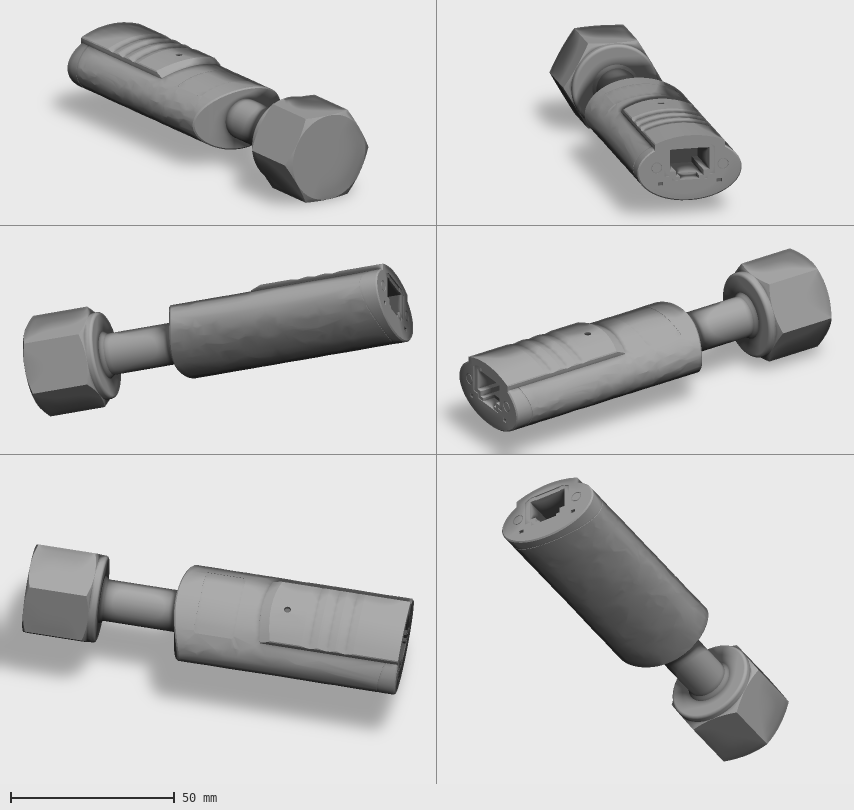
import cadquery as cq
import math

total_length = 116.2

housing_half_width = 16.4
housing_half_height = 9.65
housing_length = 70.85
plan_arc_radius = 41.0
housing_edge_chamfer = 0.4

cap_seam_start = 2.5
cap_seam_radius = 53.0
cap_seam_width = 0.5
cap_seam_depth = 0.12

plate_half_width = 11.0
plate_crown_z = 11.1
plate_shoulder_z = 8.9
plate_length = 44.35
plate_end_drop = 1.3
plate_end_run = 3.0
plate_side_chamfer = 0.25

grip_count = 3
grip_start = 14.0
grip_pitch = 5.6
grip_width = 4.93
grip_depth = 0.4

indicator_x = 36.3
indicator_diameter = 2.1
indicator_depth = 1.0

label_start = 51.1
label_end = 63.5
label_corner_radius = 0.8
label_depth = 0.1

shank_radius = 6.4
collar_radius = 7.3
collar_start = 92.5
washer_start = 93.8
washer_fillet = 0.9
hex_start = 96.1
hex_sides = 6
hex_across_flats = 27.0
hex_chamfer_angle = 30.0
washer_clearance = 0.05
washer_radius = hex_across_flats / 2 - washer_clearance

bezel_half_width = 7.93
bezel_top_z = 8.2
bezel_bottom_z = -1.5
bezel_corner_run = 2.0
bezel_corner_drop = 1.1
bezel_recess = 0.2
top_notch_depth = 0.4
tab_half_width = 5.6
tab_bottom_z = -2.97
latch_half_width = 3.0
latch_depth = 4.3
socket_half_width = 6.18
socket_top_z = 6.8
socket_ledge_z = -0.17
keyway_half_width = 4.33
keyway_bottom_z = -1.92
socket_depth = 15.0

light_y = 10.45
light_z = 1.4
light_outer_diameter = 3.5
light_inner_diameter = 2.9
light_groove_depth = 0.2
window_y = 9.26
window_z = -3.8
window_width = 1.6
window_height = 1.2
window_depth = 0.8


def plan_disc(front_x, radius):
    """Tall upright cylinder whose +X-most line is at front_x on the centre plane."""
    height = 4 * housing_half_height
    return cq.Workplane("XY").center(front_x - radius, 0).circle(radius).extrude(height, both=True)


def oval_bar(inset, length):
    """Elliptical bar along X, smaller than the housing by inset all round."""
    half_width = housing_half_width - inset
    half_height = housing_half_height - inset
    return cq.Workplane("YZ").ellipse(half_width, half_height).extrude(length)


def face_box(half_width, bottom_z, top_z, depth):
    """Box centred on Y = 0 that runs inward from the X = 0 face."""
    size_z = top_z - bottom_z
    corner = (0, -half_width, bottom_z)
    return cq.Workplane("XY").box(depth, 2 * half_width, size_z, centered=False).translate(corner)


def make_housing():
    body = oval_bar(0, housing_length).intersect(plan_disc(housing_length, plan_arc_radius))
    body = body.edges("<X or >X").chamfer(housing_edge_chamfer)

    seam_centre = cap_seam_start + cap_seam_radius
    seam = (
        cq.Workplane("XY")
        .center(seam_centre, 0)
        .circle(cap_seam_radius)
        .circle(cap_seam_radius - cap_seam_width)
        .extrude(2 * housing_half_height, both=True)
        .cut(oval_bar(cap_seam_depth, housing_length))
    )
    body = body.cut(seam)

    recess = (
        cq.Workplane("XY")
        .center((label_start + label_end) / 2, 0)
        .rect(label_end - label_start, 2 * plate_half_width)
        .extrude(2 * housing_half_height)
        .edges("|Z")
        .fillet(label_corner_radius)
        .cut(oval_bar(label_depth, housing_length))
    )
    return body.cut(recess)


def make_plate():
    plate = (
        cq.Workplane("YZ")
        .moveTo(-plate_half_width, 0)
        .lineTo(-plate_half_width, plate_shoulder_z)
        .threePointArc((0, plate_crown_z), (plate_half_width, plate_shoulder_z))
        .lineTo(plate_half_width, 0)
        .close()
        .extrude(plate_length)
        .intersect(plan_disc(plate_length, plan_arc_radius))
    )
    end_point = (plate_length, 0, plate_crown_z)
    end_edge = plate.edges(cq.selectors.NearestToPointSelector(end_point))
    plate = cq.Workplane(plate.val().chamfer(plate_end_run, plate_end_drop, end_edge.vals()))
    plate = plate.edges("|X").edges(">Z").chamfer(plate_side_chamfer)

    for index in range(grip_count):
        plate = plate.cut(make_grip(grip_start + index * grip_pitch))

    hole = (
        cq.Workplane("XY", origin=(indicator_x, 0, plate_crown_z - indicator_depth))
        .circle(indicator_diameter / 2)
        .extrude(2 * indicator_depth)
    )
    return plate.cut(hole)


def make_grip(start_x):
    """Shallow V-shaped hollow across the plate that follows its crown."""
    crown_rise = plate_crown_z - plate_shoulder_z
    crown_radius = (plate_half_width**2 + crown_rise**2) / (2 * crown_rise)
    axis_z = plate_crown_z - crown_radius
    return (
        cq.Workplane("XZ")
        .moveTo(start_x, plate_crown_z)
        .lineTo(start_x + grip_width / 2, plate_crown_z - grip_depth)
        .lineTo(start_x + grip_width, plate_crown_z)
        .close()
        .revolve(360, (0, axis_z, 0), (1, axis_z, 0))
    )


def make_coupling():
    """Shank, collar, washer and hexagon nut on the X axis."""
    shank_start = housing_length / 2
    shank = (
        cq.Workplane("YZ", origin=(shank_start, 0, 0))
        .circle(shank_radius)
        .extrude(hex_start - shank_start)
    )
    collar = (
        cq.Workplane("XY")
        .moveTo(collar_start, 0)
        .lineTo(collar_start, shank_radius)
        .lineTo(washer_start, collar_radius)
        .lineTo(washer_start, 0)
        .close()
        .revolve(360, (0, 0, 0), (1, 0, 0))
    )
    washer = (
        cq.Workplane("YZ", origin=(washer_start, 0, 0))
        .circle(washer_radius)
        .extrude(hex_start - washer_start)
        .faces("<X")
        .edges()
        .fillet(washer_fillet)
    )
    return shank.union(collar).union(washer).union(make_nut())


def make_nut():
    corner_diameter = hex_across_flats / math.cos(math.pi / hex_sides)
    nut = (
        cq.Workplane("YZ", origin=(hex_start, 0, 0))
        .polygon(hex_sides, corner_diameter)
        .extrude(total_length - hex_start)
    )
    corner_radius = corner_diameter / 2
    chamfer_run = (corner_radius - washer_radius) * math.tan(math.radians(hex_chamfer_angle))
    turned_blank = (
        cq.Workplane("XY")
        .moveTo(hex_start, 0)
        .lineTo(hex_start, washer_radius)
        .lineTo(hex_start + chamfer_run, corner_radius)
        .lineTo(total_length - chamfer_run, corner_radius)
        .lineTo(total_length, washer_radius)
        .lineTo(total_length, 0)
        .close()
        .revolve(360, (0, 0, 0), (1, 0, 0))
    )
    return nut.intersect(turned_blank)


def make_socket():
    """Keyed plug opening with its shallow bezel."""
    bezel_corner_z = bezel_top_z - bezel_corner_drop
    bezel_top_half_width = bezel_half_width - bezel_corner_run
    bezel = (
        cq.Workplane("YZ")
        .moveTo(-bezel_half_width, bezel_bottom_z)
        .lineTo(-bezel_half_width, bezel_corner_z)
        .lineTo(-bezel_top_half_width, bezel_top_z)
        .lineTo(bezel_top_half_width, bezel_top_z)
        .lineTo(bezel_half_width, bezel_corner_z)
        .lineTo(bezel_half_width, bezel_bottom_z)
        .close()
        .extrude(bezel_recess)
    )
    opening = face_box(socket_half_width, socket_ledge_z, socket_top_z, socket_depth)
    keyway = face_box(keyway_half_width, keyway_bottom_z, socket_top_z, socket_depth)
    latch = face_box(latch_half_width, tab_bottom_z, keyway_bottom_z, latch_depth)
    top_notch = face_box(keyway_half_width, socket_top_z, bezel_top_z, top_notch_depth)
    tab_bezel = face_box(tab_half_width, tab_bottom_z, bezel_bottom_z, bezel_recess)
    return bezel.union(tab_bezel).union(opening).union(keyway).union(latch).union(top_notch)


def make_lights():
    """Ring groove and window on each side of the socket."""
    sides = [-1, 1]
    rings = (
        cq.Workplane("YZ")
        .pushPoints([(side * light_y, light_z) for side in sides])
        .circle(light_outer_diameter / 2)
        .circle(light_inner_diameter / 2)
        .extrude(light_groove_depth)
    )
    windows = (
        cq.Workplane("YZ")
        .pushPoints([(side * window_y, window_z) for side in sides])
        .rect(window_width, window_height)
        .extrude(window_depth)
    )
    return rings.union(windows)


result = (
    make_housing()
    .union(make_plate())
    .union(make_coupling())
    .cut(make_socket())
    .cut(make_lights())
)